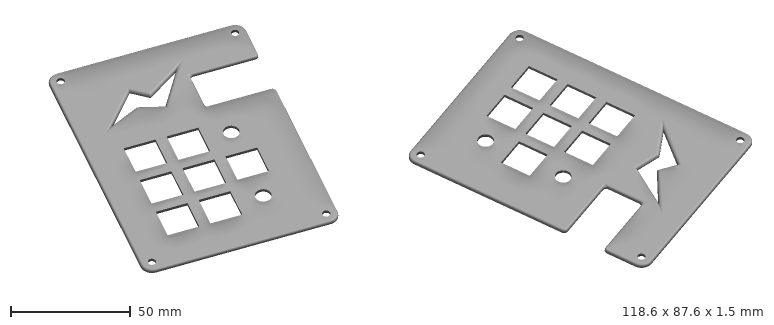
import cadquery as cq

length = 118.6
width = 87.6
corner_radius = 5.0
edge_round = 1.0
straight_wall_height = 0.5
thickness = straight_wall_height + edge_round

notch_left = -38.5
notch_right = -20.0
notch_floor = 12.8
notch_mouth_radius = 1.9
notch_floor_radius = 1.5

selection_margin = 0.1

screw_hole_diameter = 3.4

key_size = 14.1
key_pitch = 19.1
grid_center_x = 16.5
middle_row_y = -1.3
round_hole_diameter = 7.0

bolt_points = [
    (-48.5, 13.4),
    (-24.7, -2.1),
    (-28.6, -13.9),
    (-19.9, -32.3),
    (-41.0, -14.0),
    (-35.2, -6.5),
]
bolt_round = 1.4


def vertical_notch_edges(body, y):
    """Upright edges of the notch that stand at the given depth."""
    box = cq.selectors.BoxSelector(
        (notch_left - selection_margin, y - selection_margin, 0),
        (notch_right + selection_margin, y + selection_margin, thickness),
    )
    return body.edges("|Z").edges(box)


def make_plate():
    """Rounded plate with the notch and a rounded-over upper rim."""
    plate = cq.Workplane("XY").box(length, width, thickness, centered=(True, True, False))
    plate = plate.edges("|Z").fillet(corner_radius)
    notch_width = notch_right - notch_left
    notch_depth = width / 2 - notch_floor
    notch = (
        cq.Workplane("XY", origin=(notch_left, notch_floor, 0))
        .rect(notch_width, notch_depth, centered=False)
        .extrude(thickness)
    )
    plate = plate.cut(notch)
    plate = vertical_notch_edges(plate, width / 2).fillet(notch_mouth_radius)
    plate = plate.faces(">Z").edges().fillet(edge_round)
    return vertical_notch_edges(plate, notch_floor).fillet(notch_floor_radius)


def cut_bolt(plate):
    """Cut the bolt opening and round its walls out to the top outline."""
    bolt = (
        cq.Workplane("XY")
        .polyline(bolt_points)
        .close()
        .offset2D(-bolt_round, "intersection")
        .extrude(thickness)
    )
    plate = plate.cut(bolt)
    bolt_rim = plate.faces(">Z").val().innerWires()[0]
    return plate.newObject(bolt_rim.Edges()).fillet(bolt_round)


def cut_screw_holes(plate):
    """Cut one screw hole through each corner."""
    holes = (
        cq.Workplane("XY")
        .rect(length - 2 * corner_radius, width - 2 * corner_radius, forConstruction=True)
        .vertices()
        .circle(screw_hole_diameter / 2)
        .extrude(thickness)
    )
    return plate.cut(holes)


def cut_key_grid(plate):
    """Cut the square key openings and the two round holes of the rear row."""
    columns = [grid_center_x + step * key_pitch for step in (-1, 0, 1)]
    front_row_y = middle_row_y - key_pitch
    rear_row_y = middle_row_y + key_pitch
    key_centers = [(x, y) for x in columns for y in (front_row_y, middle_row_y)]
    key_centers.append((grid_center_x, rear_row_y))
    round_centers = [(columns[0], rear_row_y), (columns[-1], rear_row_y)]
    keys = cq.Workplane("XY").pushPoints(key_centers).rect(key_size, key_size).extrude(thickness)
    rounds = (
        cq.Workplane("XY")
        .pushPoints(round_centers)
        .circle(round_hole_diameter / 2)
        .extrude(thickness)
    )
    return plate.cut(keys).cut(rounds)


plate = cut_bolt(make_plate())
plate = cut_screw_holes(plate)
result = cut_key_grid(plate)